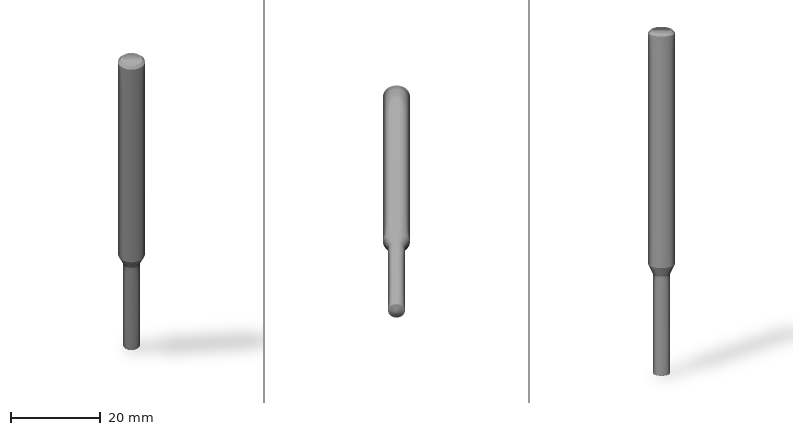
import cadquery as cq
import math

total_length = 80.7

shank_radius = 3.0
shank_chamfer = 0.6
cone_top_z = 26.15
cone_bottom_z = 23.8

cutter_radius = 1.85
cutter_top_z = 12.0
point_angle = 140.0
point_height = cutter_radius / math.tan(math.radians(point_angle / 2))


def revolve_profile(points):
    """Turn a closed (radius, height) outline around the Z axis."""
    return cq.Workplane("XZ").polyline(points).close().revolve(360, (0, 0), (0, 1))


def make_shank():
    """Chamfered shank that tapers through a cone to the neck."""
    return revolve_profile([
        (0, cutter_top_z),
        (cutter_radius, cutter_top_z),
        (cutter_radius, cone_bottom_z),
        (shank_radius, cone_top_z),
        (shank_radius, total_length - shank_chamfer),
        (shank_radius - shank_chamfer, total_length),
        (0, total_length),
    ])


def make_cutter():
    """Cylindrical cutting end that finishes in a conical drill point."""
    return revolve_profile([
        (0, 0),
        (cutter_radius, point_height),
        (cutter_radius, cutter_top_z),
        (0, cutter_top_z),
    ])


shank = make_shank()
cutter = make_cutter()
result = cq.Compound.makeCompound([shank.val(), cutter.val()])